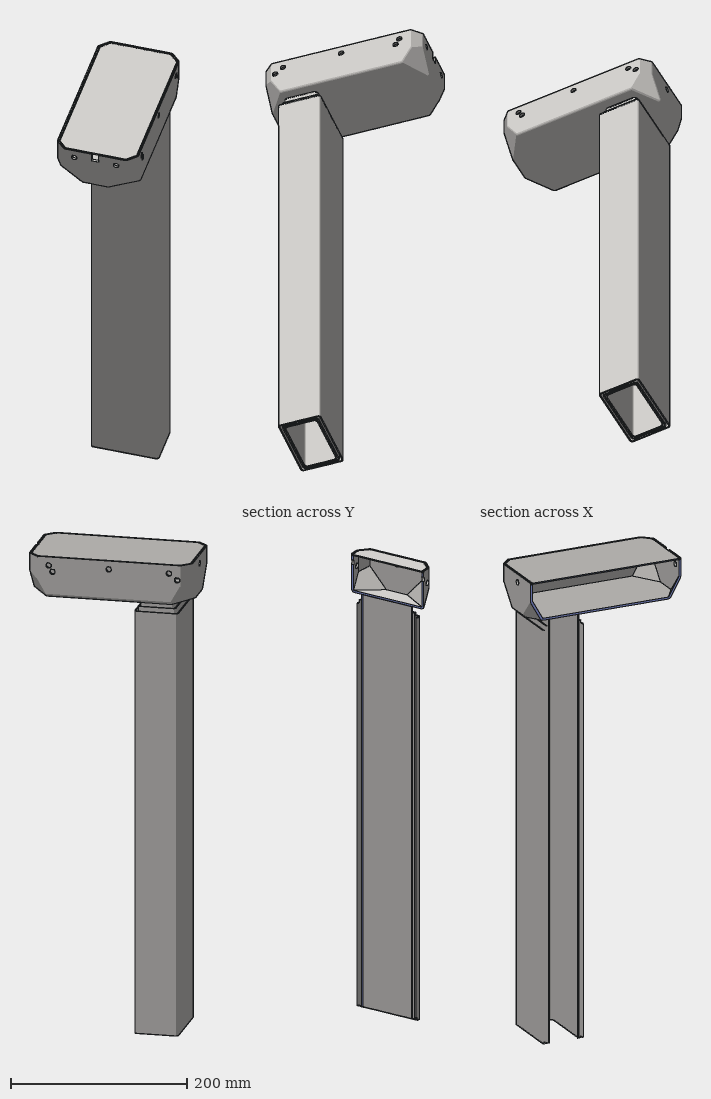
import cadquery as cq

TOTAL_HEIGHT = 560.0
HEAD_X = 96.0
HEAD_Y = 190.0
HEAD_HEIGHT = 47.5
HEAD_BOTTOM = TOTAL_HEIGHT - HEAD_HEIGHT
CORNER_CUT = 11.0
HEAD_RADIUS = 4.2
WALL = 3.0
RIM = 1.5

SLOPE_DROP = 20.0
SLOPE_RUN_X = 35.5
SLOPE_RUN_Y = 23.0

LID_INSET = 2.5
LID_THICKNESS = 2.0
LEDGE_Z = TOTAL_HEIGHT - LID_THICKNESS

HOLE_DIAMETER = 6.0
SIDE_HOLE_DROP = 10.0
SIDE_HOLE_PITCH = 70.0
LOW_HOLE_DROP = 17.5
LOW_HOLE_YS = (-65.5, 79.5)
END_HOLE_DROP = 10.0
END_HOLE_X = 24.5
NOTCH_WIDTH = 8.5
NOTCH_DEPTH = 10.0

COLUMN_X = -0.5
COLUMN_Y = 53.0
TUBE_WALL = 1.4
OUTER_SIZE = (80.0, 51.0)
OUTER_RADIUS = 3.5
OUTER_TOP = 500.0
MIDDLE_SIZE = (74.0, 43.5)
MIDDLE_RADIUS = 3.0
MIDDLE_TOP = 505.0
INNER_SIZE = (70.5, 40.5)
INNER_RADIUS = 5.0


def cut_corner_block(inset, bottom, top):
    """Block in the outline of the head, with all eight sides moved in by `inset`."""
    corner_cut = CORNER_CUT - inset * (2 - 2 ** 0.5)
    return (
        cq.Workplane("XY", origin=(0, 0, bottom))
        .rect(HEAD_X - 2 * inset, HEAD_Y - 2 * inset)
        .extrude(top - bottom)
        .edges("|Z")
        .chamfer(corner_cut)
    )


def slope_cutter(side_x, side_y, inset):
    """Slab that takes off one lower corner; `side_x` and `side_y` are -1 or 1."""
    corner_x = side_x * HEAD_X / 2
    corner_y = side_y * HEAD_Y / 2
    start = cq.Vector(corner_x - side_x * CORNER_CUT, corner_y, TOTAL_HEIGHT - SLOPE_DROP)
    on_end = cq.Vector(corner_x - side_x * SLOPE_RUN_X, corner_y, HEAD_BOTTOM)
    on_side = cq.Vector(corner_x, corner_y - side_y * SLOPE_RUN_Y, HEAD_BOTTOM)
    outward = (on_end - start).cross(on_side - start).normalized()
    if outward.z > 0:
        outward = outward * -1
    plane = cq.Plane(origin=(start - outward * inset).toTuple(), normal=outward.toTuple())
    return cq.Workplane(plane).rect(HEAD_Y, HEAD_Y).extrude(HEAD_HEIGHT)


def head_form(inset):
    """Sharp-edged solid in the shape of the head, with every wall moved in by `inset`."""
    form = cut_corner_block(inset, HEAD_BOTTOM + inset, TOTAL_HEIGHT)
    for side_x in (-1, 1):
        for side_y in (-1, 1):
            form = form.cut(slope_cutter(side_x, side_y, inset))
    return form


def side_hole(y, drop):
    """Drill through both long sides."""
    return (
        cq.Workplane("YZ", origin=(0, y, TOTAL_HEIGHT - drop))
        .circle(HOLE_DIAMETER / 2)
        .extrude(HEAD_X / 2, both=True)
    )


def end_hole(side_y, x, drop):
    """Drill through one end wall only."""
    return (
        cq.Workplane("XZ", origin=(x, side_y * HEAD_Y / 2, TOTAL_HEIGHT - drop))
        .circle(HOLE_DIAMETER / 2)
        .extrude(2 * WALL, both=True)
    )


def cable_notch():
    """Open-topped slot in the middle of the -Y end wall."""
    return cq.Workplane("XY", origin=(0, -HEAD_Y / 2, TOTAL_HEIGHT)).box(
        NOTCH_WIDTH, 4 * WALL, 2 * NOTCH_DEPTH
    )


def make_head():
    head = head_form(0).edges("not(>Z)").fillet(HEAD_RADIUS)
    head = head.cut(head_form(WALL))
    head = head.cut(cut_corner_block(RIM, LEDGE_Z, TOTAL_HEIGHT))
    for y in (-SIDE_HOLE_PITCH, 0, SIDE_HOLE_PITCH):
        head = head.cut(side_hole(y, SIDE_HOLE_DROP))
    for y in LOW_HOLE_YS:
        head = head.cut(side_hole(y, LOW_HOLE_DROP))
    for x in (-END_HOLE_X, END_HOLE_X):
        head = head.cut(end_hole(-1, x, END_HOLE_DROP))
    head = head.cut(end_hole(1, 0, SIDE_HOLE_DROP))
    return head.cut(cable_notch())


def make_lid():
    return cut_corner_block(LID_INSET, LEDGE_Z, TOTAL_HEIGHT)


def rounded_bar(size, radius, top):
    """Upright bar with rounded corners, standing on Z = 0 on the column's axis."""
    return (
        cq.Workplane("XY", origin=(COLUMN_X, COLUMN_Y, 0))
        .rect(*size)
        .extrude(top)
        .edges("|Z")
        .fillet(radius)
    )


def make_stage(size, radius, top):
    """One tube of the column, open at both ends."""
    size_x, size_y = size
    bore_size = (size_x - 2 * TUBE_WALL, size_y - 2 * TUBE_WALL)
    return rounded_bar(size, radius, top).cut(rounded_bar(bore_size, radius - TUBE_WALL, top))


head = make_head()
lid = make_lid()
outer_stage = make_stage(OUTER_SIZE, OUTER_RADIUS, OUTER_TOP)
middle_stage = make_stage(MIDDLE_SIZE, MIDDLE_RADIUS, MIDDLE_TOP)
inner_stage = make_stage(INNER_SIZE, INNER_RADIUS, HEAD_BOTTOM)

result = cq.Compound.makeCompound(
    [head.val(), lid.val(), outer_stage.val(), middle_stage.val(), inner_stage.val()]
)